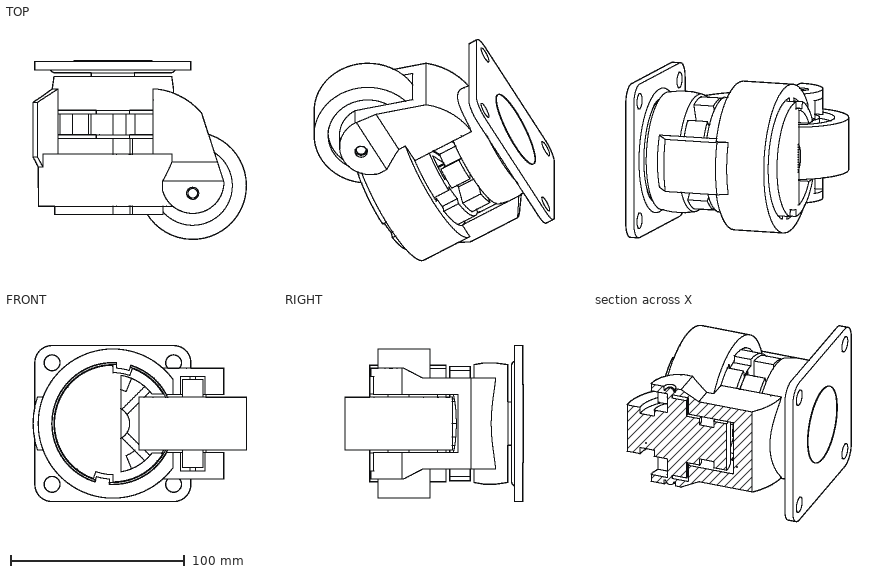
import cadquery as cq
import math


pad_diameter = 45.0
pad_height = 0.4
plate_size = 90.0
plate_thickness = 5.0
plate_corner_radius = 10.0
plate_hole_diameter = 9.0
plate_hole_spacing = 70.0
rib_crest_radius = 33.0
rib_half_width = 3.0
rib_height = 1.7
neck_radius = 12.5
rib_clearance = 2.0

race_radius = 35.0
race_end_radius = 34.0
race_taper_height = 7.2
race_land_height = 6.5
race_lower_height = 5.9

gap = 2.0
gear_radius = 33.0
gear_root_radius = 20.0
gear_teeth = 8
gear_thickness = 12.0
shaft_radius = 9.7
drum_radius = 33.6
drum_height = 44.0
shaft_end_recess = 0.6
drum_pocket_radius = 28.2
drum_pocket_x = 4.6
spoke_width = 4.2
spoke_height = 5.0
spoke_angles = (45.0, -45.0)

sleeve_outer_radius = 43.0
sleeve_bore_radius = 35.2
sleeve_height = 30.0
sleeve_offset = 9.2
window_half_width = 17.0
tooth_inner_radius = 32.0
tooth_start_x = 2.0
tooth_end_angle = 17.1
slot_inner_radius = 29.4
slot_start_x = 0.0
slot_end_angle = 19.5

plate_top = -pad_height
plate_bottom = plate_top - plate_thickness
rib_crest = plate_bottom - rib_height
race_top = rib_crest - rib_clearance
race_land_top = race_top - race_taper_height
race_land_bottom = race_land_top - race_land_height
race_bottom = race_land_bottom - race_lower_height
gear_top = race_bottom - gap
gear_bottom = gear_top - gear_thickness
drum_top = gear_bottom - gap
drum_bottom = drum_top - drum_height
sleeve_top = drum_top - sleeve_offset
sleeve_bottom = sleeve_top - sleeve_height

arm_radius = 46.0
arm_width = 30.5
arm_upper_slope = 7.7
arm_lower_slope_top = -55.5
arm_bottom = -61.3

wheel_x = 46.0
wheel_y = -72.0
wheel_radius = 31.0
wheel_width = 30.6
wheel_hub_radius = 28.4 / 2
wheel_rim_inner_radius = 45.7 / 2
wheel_groove_depth = 4.0
axle_radius = 6.0
axle_length = 50.8

fork_half_width = 26.3
fork_lug_half_width = 32.0
fork_inner_half_width = 16.6
fork_slope_top = -58.3
fork_slope_bottom = -69.3
fork_shoulder = (51.2, -30.2)
fork_crown_point = (40.0, -21.0)
fork_crown_start_x = 25.0
fork_lug_radius = 18.0
fork_lug_y = -70.0
wheel_housing_radius = 35.0
axle_slot_width = 14.0
axle_slot_half_length = 27.2

pin_y = -76.4
pin_radius = 1.5
pin_hole_radius = 7.0 / 2
pin_hole_depth = 2.5
pin_dome_radius = 2.8
pin_dome_sink = 0.5

BEYOND = 200.0


def disc(radius, top, bottom):
    """Cylinder about the swivel axis."""
    return cq.Workplane("XZ", origin=(0, top, 0)).circle(radius).extrude(top - bottom)


def along_z(radius, x, y, length):
    """Cylinder parallel to Z, centred on z = 0."""
    return cq.Workplane("XY", origin=(x, y, -length / 2)).circle(radius).extrude(length)


def block(x_min, x_max, y_min, y_max, half_width):
    """Box centred on z = 0."""
    center = ((x_min + x_max) / 2, (y_min + y_max) / 2, 0)
    return cq.Workplane("XY", origin=center).box(x_max - x_min, y_max - y_min, 2 * half_width)


def both_ends(shape):
    """A shape at +Z joined with its mirror image at -Z."""
    return shape.union(shape.mirror("XY"))


def key_sector(start_x, end_angle, top, bottom):
    """Wedge between the plane x = start_x and a radial plane, and its half-turn copy."""
    slope = math.tan(math.radians(end_angle))
    near = shaft_radius
    outline = [(start_x, near), (start_x, BEYOND), (BEYOND * slope, BEYOND), (near * slope, near)]
    wedge = cq.Workplane("XZ", origin=(0, top, 0)).polyline(outline).close().extrude(top - bottom)
    return wedge.union(wedge.rotate((0, 0, 0), (0, 1, 0), 180))


def make_plate():
    plate = cq.Workplane("XZ", origin=(0, plate_top, 0)).rect(plate_size, plate_size)
    plate = plate.extrude(plate_thickness).edges("|Y").fillet(plate_corner_radius)
    holes = cq.Workplane("XZ", origin=(0, plate_top, 0))
    holes = holes.rect(plate_hole_spacing, plate_hole_spacing, forConstruction=True).vertices()
    plate = plate.cut(holes.circle(plate_hole_diameter / 2).extrude(plate_thickness))
    rib = (
        cq.Workplane("XY")
        .moveTo(rib_crest_radius - rib_half_width, plate_bottom)
        .threePointArc(
            (rib_crest_radius, rib_crest),
            (rib_crest_radius + rib_half_width, plate_bottom),
        )
        .close()
        .revolve(360, (0, 0, 0), (0, 1, 0))
    )
    plate = plate.union(disc(pad_diameter / 2, 0, plate_top)).union(rib)
    return plate.union(disc(neck_radius, plate_bottom, race_top))


def make_race():
    profile = (
        cq.Workplane("XY")
        .moveTo(0, race_top)
        .lineTo(race_end_radius, race_top)
        .lineTo(race_radius, race_land_top)
        .lineTo(race_radius, race_land_bottom)
        .lineTo(race_end_radius, race_bottom)
        .lineTo(0, race_bottom)
        .close()
    )
    return profile.revolve(360, (0, 0, 0), (0, 1, 0))


def make_gear():
    pitch = 360 / gear_teeth
    gear = disc(gear_radius, gear_top, gear_bottom)
    half_gap = pitch / 4
    first_gap_angle = half_gap
    rise = BEYOND * math.tan(math.radians(half_gap))
    gap_wedge = (
        cq.Workplane("XZ", origin=(0, gear_top, 0))
        .polyline([(0, 0), (BEYOND, rise), (BEYOND, -rise)])
        .close()
        .extrude(gear_thickness)
        .cut(disc(gear_root_radius, gear_top, gear_bottom))
    )
    for index in range(gear_teeth):
        angle = pitch * index + first_gap_angle
        gear = gear.cut(gap_wedge.rotate((0, 0, 0), (0, 1, 0), angle))
    return gear


def make_drum():
    drum = disc(drum_radius, drum_top, drum_bottom)
    opening_side = block(drum_pocket_x, BEYOND, drum_bottom, drum_top, BEYOND)
    drum = drum.cut(disc(drum_pocket_radius, drum_top, drum_bottom).intersect(opening_side))
    drum = drum.cut(block(drum_pocket_x, BEYOND, drum_bottom, drum_top, window_half_width))
    slots = key_sector(slot_start_x, slot_end_angle, drum_top, drum_bottom)
    drum = drum.cut(slots.cut(disc(slot_inner_radius, drum_top, drum_bottom)))
    spoke = block(0, drum_pocket_radius, drum_top - spoke_height, drum_top, spoke_width / 2)
    for angle in spoke_angles:
        drum = drum.union(spoke.rotate((0, 0, 0), (0, 1, 0), angle))
    return drum


def make_sleeve():
    sleeve = disc(sleeve_outer_radius, sleeve_top, sleeve_bottom)
    bore = disc(sleeve_bore_radius, sleeve_top, sleeve_bottom)
    teeth = key_sector(tooth_start_x, tooth_end_angle, sleeve_top, sleeve_bottom)
    bore = bore.cut(teeth.cut(disc(tooth_inner_radius, sleeve_top, sleeve_bottom)))
    return sleeve.cut(bore)


def make_arm():
    outline = [
        (race_radius, race_land_top),
        (arm_radius, race_land_top - arm_upper_slope),
        (arm_radius, arm_lower_slope_top),
        (sleeve_outer_radius, arm_bottom),
        (sleeve_outer_radius, sleeve_top),
        (race_radius, sleeve_top),
    ]
    ring = cq.Workplane("XY").polyline(outline).close().revolve(360, (0, 0, 0), (0, 1, 0))
    return ring.intersect(block(-BEYOND, 0, -BEYOND, 0, arm_width / 2))


def make_fork():
    lug_right = (wheel_x + fork_lug_radius, fork_lug_y)
    lug_bottom = (wheel_x, fork_lug_y - fork_lug_radius)
    lug_left = (wheel_x - fork_lug_radius, fork_lug_y)
    fork = (
        cq.Workplane("XY", origin=(0, 0, -fork_lug_half_width))
        .moveTo(0, race_land_top)
        .lineTo(fork_crown_start_x, race_land_top)
        .threePointArc(fork_crown_point, fork_shoulder)
        .lineTo(*lug_right)
        .threePointArc(lug_bottom, lug_left)
        .lineTo(lug_left[0], sleeve_top)
        .lineTo(0, sleeve_top)
        .close()
        .extrude(2 * fork_lug_half_width)
    )
    step = [
        (fork_half_width, 0),
        (fork_half_width, fork_slope_top),
        (fork_lug_half_width, fork_slope_bottom),
        (BEYOND, fork_slope_bottom),
        (BEYOND, 0),
    ]
    outer_relief = cq.Workplane("ZY").polyline(step).close().extrude(BEYOND, both=True)
    fork = fork.cut(both_ends(outer_relief))
    fork = fork.cut(disc(race_radius, 0, sleeve_top))
    return fork.cut(disc(sleeve_bore_radius, sleeve_top, drum_bottom))


def cut_wheel_housing(frame):
    housing = along_z(wheel_housing_radius, wheel_x, wheel_y, 2 * fork_inner_half_width)
    below = block(wheel_x - wheel_housing_radius, BEYOND, -BEYOND, wheel_y, fork_inner_half_width)
    frame = frame.cut(housing.union(below))
    return frame.cut(block(0, BEYOND, sleeve_bottom, sleeve_top, fork_inner_half_width))


def cut_axle_slot(frame):
    slot = along_z(axle_slot_width / 2, wheel_x, wheel_y, 2 * axle_slot_half_length)
    half = axle_slot_width / 2
    mouth = block(wheel_x - half, wheel_x + half, -BEYOND, wheel_y, axle_slot_half_length)
    return frame.cut(slot.union(mouth))


def add_detent_pins(frame):
    hole_floor = fork_lug_half_width - pin_hole_depth
    axle_end = axle_length / 2
    hole = cq.Workplane("XY", origin=(wheel_x, pin_y, hole_floor))
    hole = hole.circle(pin_hole_radius).extrude(pin_hole_depth)
    dome = cq.Workplane("XY", origin=(wheel_x, pin_y, hole_floor - pin_dome_sink)).sphere(pin_dome_radius)
    dome = dome.intersect(hole)
    pin = cq.Workplane("XY", origin=(wheel_x, pin_y, axle_end))
    pin = pin.circle(pin_radius).extrude(hole_floor - axle_end)
    return frame.cut(both_ends(hole)).union(both_ends(pin)).union(both_ends(dome))


def make_wheel():
    wheel = along_z(wheel_radius, wheel_x, wheel_y, wheel_width)
    groove = (
        cq.Workplane("XY", origin=(wheel_x, wheel_y, wheel_width / 2 - wheel_groove_depth))
        .circle(wheel_rim_inner_radius)
        .circle(wheel_hub_radius)
        .extrude(wheel_groove_depth)
    )
    axle = along_z(axle_radius, wheel_x, wheel_y, axle_length)
    return wheel.cut(both_ends(groove)).union(axle)


frame = make_fork().union(make_sleeve())
frame = cut_wheel_housing(frame)
frame = cut_axle_slot(frame)
frame = add_detent_pins(frame)

shaft = disc(shaft_radius, race_bottom, drum_bottom + shaft_end_recess)

result = (
    make_plate()
    .union(make_race())
    .union(shaft)
    .union(make_gear())
    .union(make_drum())
    .union(make_arm())
    .union(frame)
    .union(make_wheel())
)